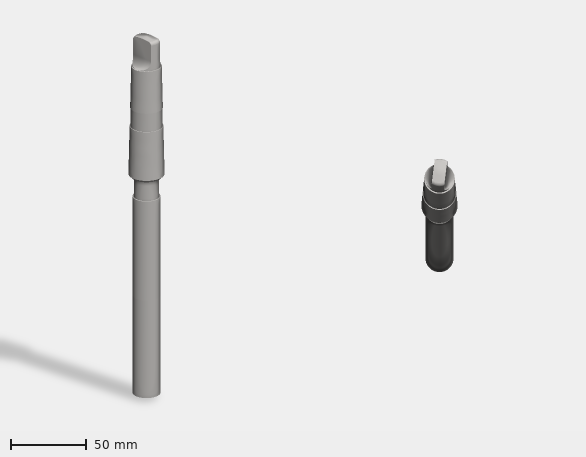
import cadquery as cq
import math

total_length = 260.4
split_height = 73.7
neck_bottom = 145.0
collar_bottom = 161.2
relief_bottom = 195.8
relief_top = 209.0
shoulder_height = 239.0
flat_bottom = 245.8

body_diameter = 18.5
neck_diameter = 16.7
collar_diameter = 24.0
collar_chamfer = 1.8
relief_diameter = 21.0
taper_ratio = 0.048
point_angle = 140.0

tang_diameter = 18.5
tang_thickness = 8.3
tang_root_radius = 7.0
tang_top_rounding = 2.0
tang_top_drop = 1.3
tang_turn = 15.0


def taper_radius(height):
    """Radius of the tapered shank at a given height."""
    return (collar_diameter - taper_ratio * (height - collar_bottom)) / 2


def make_cutting_head():
    radius = body_diameter / 2
    point_height = radius / math.tan(math.radians(point_angle / 2))
    profile = [
        (0, 0),
        (radius, point_height),
        (radius, split_height),
        (0, split_height),
    ]
    return cq.Workplane("XZ").polyline(profile).close().revolve(360, (0, 0), (0, 1))


def make_turned_shank():
    body_radius = body_diameter / 2
    neck_radius = neck_diameter / 2
    collar_radius = collar_diameter / 2
    relief_radius = relief_diameter / 2
    profile = [
        (0, split_height),
        (body_radius, split_height),
        (body_radius, neck_bottom),
        (neck_radius, neck_bottom),
        (neck_radius, collar_bottom - collar_chamfer),
        (collar_radius - collar_chamfer, collar_bottom - collar_chamfer),
        (collar_radius, collar_bottom),
        (taper_radius(relief_bottom), relief_bottom),
        (relief_radius, relief_bottom),
        (relief_radius, relief_top),
        (taper_radius(relief_top), relief_top),
        (taper_radius(shoulder_height), shoulder_height),
        (0, shoulder_height),
    ]
    return cq.Workplane("XZ").polyline(profile).close().revolve(360, (0, 0), (0, 1))


def make_tang_stem():
    radius = tang_diameter / 2
    rim_height = total_length - tang_top_drop
    profile = [
        (0, shoulder_height),
        (radius, shoulder_height),
        (radius, rim_height),
        (0, total_length),
    ]
    stem = cq.Workplane("XZ").polyline(profile).close().revolve(360, (0, 0), (0, 1))
    return stem.edges("%CIRCLE").edges(">Z").fillet(tang_top_rounding)


def make_flat_cutter(side):
    """Cutter for one tang flat: a straight face ending in a concave root radius."""
    face = side * tang_thickness / 2
    root_end = face + side * tang_root_radius
    root_bottom = flat_bottom - tang_root_radius
    root_middle = (
        root_end - side * tang_root_radius * math.sqrt(0.5),
        flat_bottom - tang_root_radius * math.sqrt(0.5),
    )
    return (
        cq.Workplane("YZ")
        .moveTo(face, total_length)
        .lineTo(face, flat_bottom)
        .threePointArc(root_middle, (root_end, root_bottom))
        .lineTo(root_end, total_length)
        .close()
        .extrude(collar_diameter / 2, both=True)
        .rotate((0, 0, 0), (0, 0, 1), tang_turn)
    )


def make_shank():
    shank = make_turned_shank().union(make_tang_stem())
    for side in (-1, 1):
        shank = shank.cut(make_flat_cutter(side))
    return shank


cutting_head = make_cutting_head()
shank = make_shank()

result = cq.Compound.makeCompound([cutting_head.val(), shank.val()])